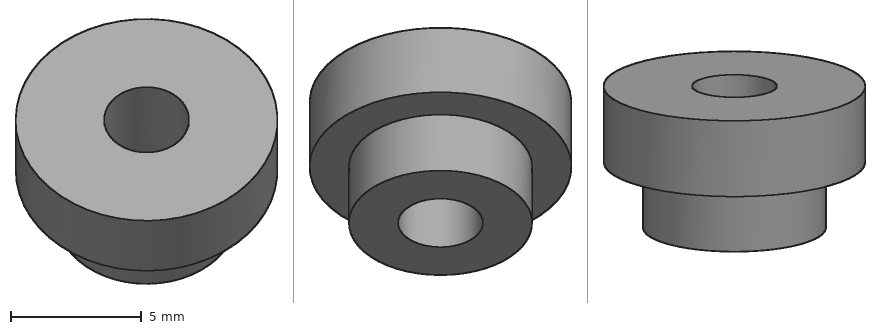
import cadquery as cq

flange_diameter = 10.0
flange_height = 3.0
spigot_diameter = 7.0
spigot_height = 2.6
bore_diameter = 3.24

spigot = cq.Workplane("XY").circle(spigot_diameter / 2).extrude(spigot_height)
flange = (
    cq.Workplane("XY")
    .workplane(offset=spigot_height)
    .circle(flange_diameter / 2)
    .extrude(flange_height)
)

total_height = spigot_height + flange_height
bore = cq.Workplane("XY").circle(bore_diameter / 2).extrude(total_height)

result = spigot.union(flange).cut(bore)